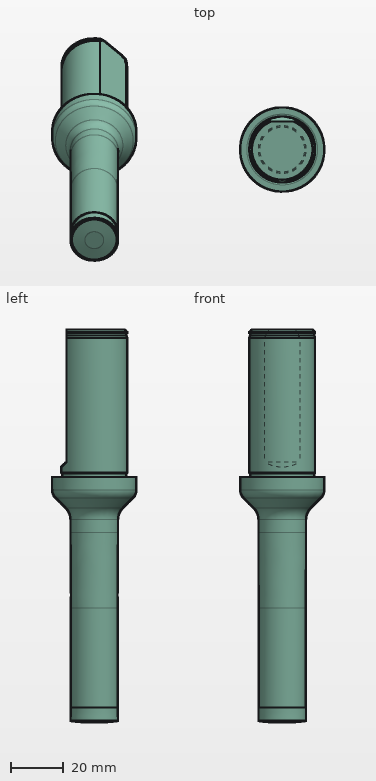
import cadquery as cq
import math

TOTAL_LENGTH = 149.0
HEAD_LENGTH = 5.7
BODY_TAPER_START = 43.4
BODY_TAPER_END = 72.0
NECK_BLEND_START = 77.0
FLANGE_BOTTOM = 88.2
FLANGE_TOP = 93.1
SHANK_BOTTOM = 94.8

BODY_DIAMETER = 17.9
NECK_DIAMETER = 18.2
FLANGE_DIAMETER = 32.0
NECK_FILLET_RADIUS = 6.0
BLEND_SLOPE = math.radians(45)

SHANK_DIAMETER = 25.0
GROOVE_DIAMETER = 24.5
TOP_CHAMFER = 1.0
TOP_GROOVE_UPPER = 147.7
TOP_GROOVE_LOWER = 146.6
TOP_GROOVE_BEVEL_END = 145.7
RELIEF_DIAMETER = 26.8
RELIEF_DEPTH = 0.3

FLAT_OFFSET = 10.6
FLAT_BOTTOM = 96.8
FLAT_RAMP_HEIGHT = 2.0

HEAD_DIAMETER = 18.2
HEAD_TOP_DIAMETER = 18.0
TIP_HEIGHT = 0.7
TIP_FLAT_DIAMETER = 7.2
RIM_HEIGHT = 0.5
RIM_DIAMETER = 17.0


def make_holder():
    """Drill body, flange and shank turned about Z, with a flat along the shank."""
    body_radius = BODY_DIAMETER / 2
    neck_radius = NECK_DIAMETER / 2
    flange_radius = FLANGE_DIAMETER / 2
    groove_radius = GROOVE_DIAMETER / 2
    shank_radius = SHANK_DIAMETER / 2
    relief_radius = RELIEF_DIAMETER / 2

    arc_run = 1 - math.cos(BLEND_SLOPE)
    arc_rise = math.sin(BLEND_SLOPE)
    blend_run = flange_radius - neck_radius
    blend_rise = FLANGE_BOTTOM - NECK_BLEND_START
    slope = math.tan(BLEND_SLOPE)
    radius_sum = (blend_rise - blend_run * slope) / (arc_rise - arc_run * slope)
    flange_rounding = radius_sum - NECK_FILLET_RADIUS
    neck_arc_end = (
        neck_radius + NECK_FILLET_RADIUS * arc_run,
        NECK_BLEND_START + NECK_FILLET_RADIUS * arc_rise,
    )
    flange_arc_start = (
        flange_radius - flange_rounding * arc_run,
        FLANGE_BOTTOM - flange_rounding * arc_rise,
    )

    profile = (
        cq.Workplane("XZ")
        .moveTo(0, HEAD_LENGTH)
        .lineTo(body_radius, HEAD_LENGTH)
        .lineTo(body_radius, BODY_TAPER_START)
        .lineTo(neck_radius, BODY_TAPER_END)
        .lineTo(neck_radius, NECK_BLEND_START)
        .tangentArcPoint(neck_arc_end, relative=False)
        .lineTo(*flange_arc_start)
        .tangentArcPoint((flange_radius, FLANGE_BOTTOM), relative=False)
        .lineTo(flange_radius, FLANGE_TOP)
        .lineTo(relief_radius, FLANGE_TOP)
        .lineTo(groove_radius, FLANGE_TOP - RELIEF_DEPTH)
        .lineTo(groove_radius, SHANK_BOTTOM - (shank_radius - groove_radius))
        .lineTo(shank_radius, SHANK_BOTTOM)
        .lineTo(shank_radius, TOP_GROOVE_BEVEL_END)
        .lineTo(groove_radius, TOP_GROOVE_LOWER)
        .lineTo(groove_radius, TOP_GROOVE_UPPER)
        .lineTo(shank_radius, TOP_GROOVE_UPPER)
        .lineTo(shank_radius, TOTAL_LENGTH - TOP_CHAMFER)
        .lineTo(shank_radius - TOP_CHAMFER, TOTAL_LENGTH)
        .lineTo(0, TOTAL_LENGTH)
        .close()
    )
    holder = profile.revolve(360, (0, 0, 0), (0, 1, 0))
    return holder.cut(make_flat_cutter())


def make_flat_cutter():
    """Prism that cuts the flat and the sloping run-out at its lower end."""
    return (
        cq.Workplane("YZ")
        .moveTo(FLAT_OFFSET, TOTAL_LENGTH)
        .lineTo(FLAT_OFFSET, FLAT_BOTTOM + FLAT_RAMP_HEIGHT)
        .lineTo(FLAT_OFFSET + FLAT_RAMP_HEIGHT, FLAT_BOTTOM)
        .lineTo(FLANGE_DIAMETER / 2, FLAT_BOTTOM)
        .lineTo(FLANGE_DIAMETER / 2, TOTAL_LENGTH)
        .close()
        .extrude(SHANK_DIAMETER / 2, both=True)
    )


def make_cutting_head():
    """Head that flares slightly below the drill body, with a shallow blunt point."""
    return (
        cq.Workplane("XZ")
        .moveTo(0, 0)
        .lineTo(TIP_FLAT_DIAMETER / 2, 0)
        .lineTo(RIM_DIAMETER / 2, RIM_HEIGHT)
        .lineTo(HEAD_DIAMETER / 2, TIP_HEIGHT)
        .lineTo(HEAD_TOP_DIAMETER / 2, HEAD_LENGTH)
        .lineTo(0, HEAD_LENGTH)
        .close()
        .revolve(360, (0, 0, 0), (0, 1, 0))
    )


holder = make_holder()
cutting_head = make_cutting_head()

result = cq.Compound.makeCompound([holder.val(), cutting_head.val()])